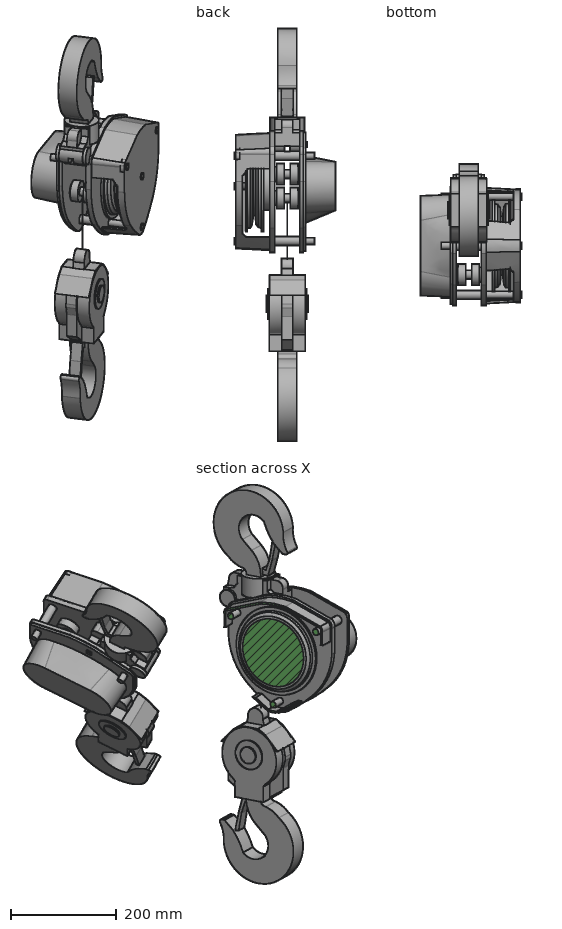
import cadquery as cq
import math


half_height = 391.0
hook_thickness = 37.0
hook_radius = 77.0
hook_centre_y = -11.0
hook_centre_z = half_height - hook_radius
throat_radius = 32.0
throat_centre_z = 312.0
shank_half = 16.0
shank_end_z = 188.0
latch_half_width = 11.0

body_y = 67.0
plate_half_width = 113.5
plate_top_z = 197.0
plate_bottom_z = -34.0
plate_inner_x = 23.5
left_plate_x = -30.5
right_plate_x = 34.0
flange_x = -35.0
flange_inset = 2.0

wheel_z = 92.0
gear_end_x = -91.5
gear_end_radius = 46.0
gear_end_half_length = 95.0
gear_base_half_length = 97.0
gear_base_straight = 59.5
gear_base_shoulder_z = 139.0
gear_base_crown_z = 149.5
gear_base_haunch_z = 41.5
gear_base_sag_z = 23.0

cover_end_x = 98.0
cover_inset = 4.0
cover_taper = 3.0
cover_wall = 5.0
cover_end_wall = 12.5
window_top_z = 125.0
window_bottom_z = -4.0
window_end_x = 84.5
window_top_bevel_x = 10.0
window_top_bevel_z = 14.0
window_bottom_bevel = 6.0
window_reach_y = 313.0

bolt_radius = 6.65
spacer_radius = 8.5
bolt_start_x = -52.0
bolt_end_x = 100.0
bolt_offset_y = 93.0
upper_bolt_z = 149.5
lower_bolt_z = -12.0
bolt_boss_radius = 15.0
bolt_boss_x = 90.0
square_bar_side = 10.0
square_bar_x = -37.5
square_bar_place = (50.0, 171.0)
roller_radius = 20.0
roller_hub_radius = 14.0
roller_axle_radius = 8.5
roller_gap_half = 5.5
roller_face_x = 20.0
roller_offset_y = 55.0
roller_offset_z = 23.0

yoke_half_width = 23.5
yoke_web_half = 10.0
collar_radius = 33.0
collar_bottom_z = 183.0
collar_height = 39.0
pin_y = -51.0
pin_z = 172.0
lug_radius = 17.0
pin_radius = 16.5
pin_half_length = 30.0
slot_half_width = 5.1
slot_top_z = 170.0
slot_height = 23.5
slot_length = 39.0

block_half_width = 34.5
hood_half_width = 34.0
drum_radius = 59.5
drum_centre_z = -136.0
block_axis_z = -131.0
block_bottom_z = -221.0
neck_top_z = -177.5
neck_top_half = math.sqrt(drum_radius**2 - (neck_top_z - drum_centre_z) ** 2)
neck_half = 31.0
neck_straight_z = -189.0
block_web_half = 10.0
knob_radius = 16.5
knob_z = -61.0
knob_half_width = 11.0
ring_radius = 29.0
ring_half_length = 37.0
block_axle_radius = 16.5
block_axle_half_length = 40.0

line_radius = 0.4
line_y = 6.0


def profile_at(x):
    """Sketch plane at the given X, with local axes along Y and Z."""
    return cq.Workplane("YZ", origin=(x, 0, 0))


def rod(y, z, radius, x_from, x_to):
    """Round bar along X."""
    return profile_at(x_from).center(y, z).circle(radius).extrude(x_to - x_from)


def centred_rod(y, z, radius, half_length):
    """Round bar along X, centred on X = 0."""
    return rod(y, z, radius, -half_length, half_length)


def centred_slab(points, half_width):
    """Straight-sided profile thickened equally to both sides of X = 0."""
    return profile_at(0).polyline(points).close().extrude(half_width, both=True)


def both_sides(half_outline):
    """Complete a half outline, listed from top to bottom, with its mirror image in Y."""
    return half_outline + [(-y, z) for y, z in reversed(half_outline)]


def on_circle(centre_y, centre_z, radius, angle):
    """Point on a circle, with the angle in degrees from +Y."""
    turn = math.radians(angle)
    return (centre_y + radius * math.cos(turn), centre_z + radius * math.sin(turn))


def joined(solids):
    """Fuse a list of solids."""
    whole = solids[0]
    for solid in solids[1:]:
        whole = whole.union(solid)
    return whole


def rim(angle):
    return on_circle(hook_centre_y, hook_centre_z, hook_radius, angle)


def throat(angle):
    return on_circle(0, throat_centre_z, throat_radius, angle)


def make_hook():
    outline = (
        profile_at(0)
        .moveTo(-shank_half, shank_end_z)
        .lineTo(-shank_half, 225.0)
        .threePointArc((-19.0, 231.5), (-26.5, 235.0))
        .threePointArc((-41.5, 241.0), rim(-125))
        .threePointArc(rim(180), rim(90))
        .threePointArc(rim(45), rim(5))
        .threePointArc((66.5, 302.0), (73.5, 283.0))
        .threePointArc((73.0, 278.0), (68.0, 277.0))
        .lineTo(63.0, 277.0)
        .lineTo(44.5, 294.0)
        .threePointArc((34.0, 310.5), throat(45))
        .threePointArc(throat(130), throat(220))
        .lineTo(-5.0, 273.0)
        .threePointArc((9.0, 254.0), (shank_half, 228.5))
        .lineTo(shank_half, shank_end_z)
        .close()
    )
    return outline.extrude(hook_thickness / 2, both=True)


def make_latch():
    outer_edge = [(14.0, 226.0), (27.0, 224.5), (37.0, 258.0), (44.5, 297.0)]
    inner_edge = [(37.0, 296.0), (30.5, 259.0), (23.0, 235.5), (14.0, 238.0)]
    return centred_slab(outer_edge + inner_edge, latch_half_width)


def plate_outline(x):
    """Shield-shaped outline shared by the plates, the flange and the wheel cover."""

    def left(offset, z):
        return (body_y + offset, z)

    def right(offset, z):
        return (body_y - offset, z)

    crown = (28.0, 195.0)
    shoulder = (plate_half_width - 7.0, 167.5)
    shoulder_middle = (plate_half_width - 1.5, 162.0)
    side_top = (plate_half_width, 152.5)
    side_bottom = (plate_half_width, 102.0)
    belly = (99.0, 48.5)
    haunch = (73.5, 13.0)
    keel = (47.0, -9.0)
    tip = (14.0, -31.0)
    return (
        profile_at(x)
        .moveTo(*left(*crown))
        .lineTo(*left(*shoulder))
        .threePointArc(left(*shoulder_middle), left(*side_top))
        .lineTo(*left(*side_bottom))
        .threePointArc(left(*belly), left(*haunch))
        .threePointArc(left(*keel), left(*tip))
        .threePointArc((body_y, plate_bottom_z), right(*tip))
        .threePointArc(right(*keel), right(*haunch))
        .threePointArc(right(*belly), right(*side_bottom))
        .lineTo(*right(*side_top))
        .threePointArc(right(*shoulder_middle), right(*shoulder))
        .lineTo(*right(*crown))
        .threePointArc((body_y, plate_top_z), left(*crown))
        .close()
    )


def make_plates():
    left = plate_outline(left_plate_x).extrude(-plate_inner_x - left_plate_x)
    flange = plate_outline(flange_x).offset2D(-flange_inset).extrude(left_plate_x - flange_x)
    right = plate_outline(plate_inner_x).extrude(right_plate_x - plate_inner_x)
    return [left, flange, right]


def make_gear_cover():
    """Slot-shaped end face blended into a wider base with bowed long sides."""
    end_top = wheel_z + gear_end_radius
    end_bottom = wheel_z - gear_end_radius
    end_straight = gear_end_half_length - gear_end_radius
    end_face = (
        profile_at(gear_end_x)
        .moveTo(body_y - end_straight, end_top)
        .lineTo(body_y + end_straight, end_top)
        .threePointArc((body_y + gear_end_half_length, wheel_z), (body_y + end_straight, end_bottom))
        .lineTo(body_y - end_straight, end_bottom)
        .threePointArc((body_y - gear_end_half_length, wheel_z), (body_y - end_straight, end_top))
        .close()
    )
    left_y = body_y + gear_base_straight
    right_y = body_y - gear_base_straight
    base = (
        end_face.workplane(offset=flange_x - gear_end_x)
        .moveTo(right_y, gear_base_shoulder_z)
        .threePointArc((body_y, gear_base_crown_z), (left_y, gear_base_shoulder_z))
        .threePointArc((body_y + gear_base_half_length, wheel_z), (left_y, gear_base_haunch_z))
        .threePointArc((body_y, gear_base_sag_z), (right_y, gear_base_haunch_z))
        .threePointArc((body_y - gear_base_half_length, wheel_z), (right_y, gear_base_shoulder_z))
        .close()
    )
    return base.loft(ruled=True)


def make_hand_wheel():
    """Grooved chain wheel, turned about X from (X, radius) points."""
    hub = [(33.0, 0), (33.0, 46.0), (44.5, 46.0)]
    left_rim = [(44.5, 87.0), (49.0, 87.0), (49.0, 80.0), (55.0, 78.0), (59.5, 72.0)]
    groove = [(61.0, 56.0), (64.0, 56.0)]
    right_rim = [(66.5, 73.5), (70.5, 80.0), (76.0, 80.0), (76.0, 87.0), (78.0, 87.0), (80.0, 83.0), (80.0, 0)]
    section = cq.Workplane("XY").polyline(hub + left_rim + groove + right_rim).close()
    return section.revolve(360, (0, 0, 0), (1, 0, 0)).translate((0, body_y, wheel_z))


def cover_body(inset, length):
    return plate_outline(right_plate_x).offset2D(-inset).extrude(length, taper=cover_taper)


def make_wheel_cover():
    """Tapered hollow cover with a chain window through both sides."""
    length = cover_end_x - right_plate_x
    hollow = cover_body(cover_inset + cover_wall, length - cover_end_wall)
    window = (
        cq.Workplane("XZ")
        .moveTo(right_plate_x, window_bottom_z)
        .lineTo(window_end_x - window_bottom_bevel, window_bottom_z)
        .lineTo(window_end_x, window_bottom_z + window_bottom_bevel)
        .lineTo(window_end_x, window_top_z - window_top_bevel_z)
        .lineTo(window_end_x - window_top_bevel_x, window_top_z)
        .lineTo(right_plate_x, window_top_z)
        .close()
        .extrude(window_reach_y, both=True)
    )
    return cover_body(cover_inset, length).cut(hollow).cut(window)


def make_bolts():
    upper_bolts = [(body_y + side * bolt_offset_y, upper_bolt_z) for side in (1, -1)]
    parts = [rod(y, z, bolt_boss_radius, bolt_boss_x, cover_end_x) for y, z in upper_bolts]
    for y, z in upper_bolts + [(body_y, lower_bolt_z)]:
        parts.append(rod(y, z, bolt_radius, bolt_start_x, bolt_end_x))
        parts.append(centred_rod(y, z, spacer_radius, plate_inner_x))
    return parts


def make_wheel_axle():
    return rod(body_y, wheel_z, bolt_radius, right_plate_x, bolt_end_x)


def make_square_bar():
    bar = profile_at(square_bar_x).center(*square_bar_place).rect(square_bar_side, square_bar_side)
    return bar.extrude(-plate_inner_x - square_bar_x)


def make_rollers():
    """Two pairs of chain guide rollers, placed on opposite sides of the wheel axis."""
    parts = []
    for side in (1, -1):
        y = body_y + side * roller_offset_y
        z = wheel_z + side * roller_offset_z
        parts.append(centred_rod(y, z, roller_axle_radius, plate_inner_x))
        for face in (1, -1):
            parts.append(rod(y, z, roller_radius, face * roller_gap_half, face * roller_face_x))
            parts.append(rod(y, z, roller_hub_radius, face * roller_face_x, face * plate_inner_x))
    return parts


def make_yoke():
    web = (
        profile_at(0)
        .moveTo(59.5, 168.0)
        .lineTo(59.5, 203.5)
        .threePointArc((56.0, 213.5), (47.0, 218.0))
        .lineTo(-44.0, 218.0)
        .threePointArc((-54.0, 215.0), (-59.0, 203.5))
        .lineTo(-62.5, 187.0)
        .lineTo(-62.5, 171.0)
        .close()
        .extrude(yoke_web_half, both=True)
    )
    cheek_left = [(33.0, 219.0), (33.0, 199.0), (41.0, 193.0), (59.5, 193.0), (59.5, 168.0)]
    cheek_right = [(-62.5, 171.0), (-62.5, 191.0), (-42.0, 192.5), (-32.0, 203.5), (-32.0, 219.0)]
    cheeks = centred_slab(cheek_left + cheek_right, yoke_half_width)
    collar = cq.Workplane("XY", origin=(0, 0, collar_bottom_z)).circle(collar_radius).extrude(collar_height)
    lug = centred_rod(pin_y, pin_z, lug_radius, yoke_half_width)
    pin = centred_rod(pin_y, pin_z, pin_radius, pin_half_length)
    slot = cq.Workplane("XY").box(2 * slot_half_width, slot_length, slot_height)
    slot = slot.translate((0, pin_y, slot_top_z - slot_height / 2))
    return joined([web, cheeks, collar, lug, pin]).cut(slot)


def make_neck():
    """Waisted lower part of the block, below the round drum."""
    waist = (36.0, -183.0)
    outline = (
        profile_at(0)
        .moveTo(neck_top_half, neck_top_z)
        .threePointArc(waist, (neck_half, neck_straight_z))
        .lineTo(neck_half, block_bottom_z)
        .lineTo(-neck_half, block_bottom_z)
        .lineTo(-neck_half, neck_straight_z)
        .threePointArc((-waist[0], waist[1]), (-neck_top_half, neck_top_z))
        .close()
    )
    return outline.extrude(block_half_width, both=True)


def make_lower_block():
    hood_edge = [(19.0, -76.0), (34.5, -85.0), (62.0, -114.0)]
    web_edge = [(62.0, -114.0), (65.0, -131.0), (65.0, -138.0), (60.0, -154.0), (60.0, -199.0), (28.0, -220.0)]
    knob_stem_edge = [(16.0, -62.5), (20.0, -80.0)]
    return [
        centred_slab(both_sides(hood_edge), hood_half_width),
        centred_rod(0, drum_centre_z, drum_radius, block_half_width),
        make_neck(),
        centred_slab(both_sides(web_edge), block_web_half),
        centred_rod(0, knob_z, knob_radius, knob_half_width),
        centred_slab(both_sides(knob_stem_edge), knob_half_width),
        centred_rod(0, block_axis_z, ring_radius, ring_half_length),
        centred_rod(0, block_axis_z, block_axle_radius, block_axle_half_length),
    ]


def make_load_line():
    """Hair-thin line from the lower roller axle to the knob, so that the hoist is one solid."""
    bottom_z = knob_z
    top_z = wheel_z - roller_offset_z
    line = cq.Workplane("XY", origin=(0, line_y, bottom_z)).circle(line_radius)
    return line.extrude(top_z - bottom_z)


upper_hook = make_hook().union(make_latch())
lower_hook = upper_hook.rotate((0, 0, 0), (1, 0, 0), 180)

hoist_body = make_plates() + [make_gear_cover(), make_wheel_cover(), make_hand_wheel()]
fittings = make_bolts() + [make_wheel_axle(), make_square_bar()] + make_rollers()
suspension = [upper_hook, make_yoke(), lower_hook, make_load_line()] + make_lower_block()

result = joined(hoist_body + fittings + suspension)